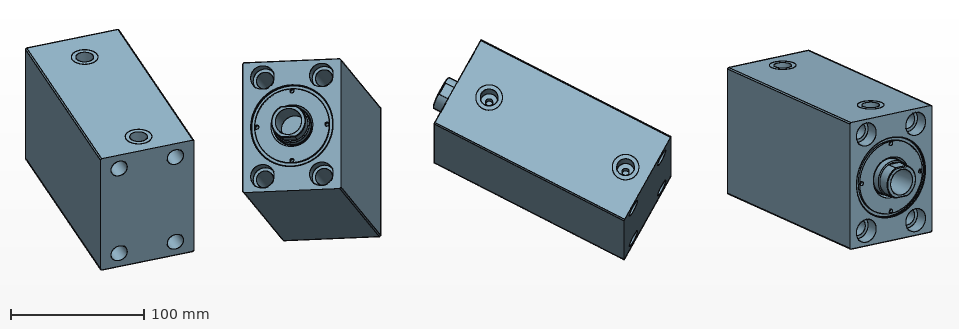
import cadquery as cq
import math

total_length = 175.5
rod_stickout = 14.0
body_length = total_length - rod_stickout
body_width = 75.0
body_height = 100.0
body_chamfer = 1.0

mount_spacing_y = 45.0
mount_spacing_z = 76.0
mount_hole_diameter = 13.0
mount_counterbore_diameter = 18.0
mount_counterbore_depth = 10.7

port_positions_x = (26.75, 142.75)
port_spotface_diameter = 20.0
port_spotface_depth = 0.1
port_thread_diameter = 13.3
port_thread_depth = 12.0
port_oil_diameter = 5.5
port_oil_depth = 18.0

gland_diameter = 62.0
gland_length = 20.0
gland_face_diameter = 57.0
gland_step_depth = 2.0
recess_chamfer = 0.5
wiper_mouth_diameter = 32.0
wiper_cone_depth = 2.0
wiper_lip_diameter = 29.0
wiper_lip_depth = 3.0
spanner_hole_diameter = 3.0
spanner_hole_depth = 3.0
spanner_point_angle = 118.0
spanner_point_length = spanner_hole_diameter / 2 / math.tan(math.radians(spanner_point_angle / 2))
spanner_hole_radius = 26.7
spanner_hole_count = 4

rod_diameter = 28.0
rod_collar_stickout = 3.5
rod_shoulder_length = 0.6
rod_flats_length = rod_stickout - rod_collar_stickout - rod_shoulder_length
rod_end_diameter = 26.0
rod_flats_width = 24.0
tip_chamfer = 0.4
flats_bevel_length = 1.0
flats_bevel_depth = 0.6
rod_bore_diameter = 20.0
rod_bore_depth = 25.0


def cylinder_x(diameter, start, length):
    """Cylinder on the X axis, running toward +X from start."""
    return cq.Workplane("YZ", origin=(start, 0, 0)).circle(diameter / 2).extrude(length)


def cone_x(start_diameter, end_diameter, start, length):
    """Truncated cone on the X axis, running toward +X from start."""
    return cq.Workplane(cq.Solid.makeCone(
        start_diameter / 2, end_diameter / 2, length,
        cq.Vector(start, 0, 0), cq.Vector(1, 0, 0),
    ))


def mounting_holes():
    """Counterbored through holes at the corners of the front face."""
    corners = cq.Workplane("YZ").rect(mount_spacing_y, mount_spacing_z, forConstruction=True).vertices()
    bores = corners.circle(mount_hole_diameter / 2).extrude(body_length)
    counterbores = corners.circle(mount_counterbore_diameter / 2).extrude(mount_counterbore_depth)
    return bores.union(counterbores)


def port(position_x):
    """Spotfaced port going down from the top face, with a narrower oil hole in its floor."""
    top = cq.Workplane("XY", origin=(position_x, 0, body_height / 2))
    spotface = top.circle(port_spotface_diameter / 2).extrude(-port_spotface_depth)
    thread = top.circle(port_thread_diameter / 2).extrude(-port_thread_depth)
    oil_hole = top.circle(port_oil_diameter / 2).extrude(-port_oil_depth)
    return spotface.union(thread).union(oil_hole)


def build_body():
    """Block with its front face at X = 0 and a chamfered recess for the gland."""
    body = cq.Workplane("YZ").rect(body_width, body_height).extrude(body_length)
    body = body.edges("|X").chamfer(body_chamfer)
    body = body.cut(cylinder_x(gland_diameter, 0, gland_length))
    mouth_diameter = gland_diameter + 2 * recess_chamfer
    body = body.cut(cone_x(mouth_diameter, gland_diameter, 0, recess_chamfer))
    body = body.cut(mounting_holes())
    for position_x in port_positions_x:
        body = body.cut(port(position_x))
    return body


def build_gland():
    """Stepped ring around the rod, with a flared mouth and spanner holes in its face."""
    gland = cylinder_x(gland_diameter, gland_step_depth, gland_length - gland_step_depth)
    gland = gland.union(cylinder_x(gland_face_diameter, 0, gland_step_depth))
    gland = gland.cut(cylinder_x(rod_diameter, 0, gland_length))
    gland = gland.cut(cone_x(wiper_mouth_diameter, wiper_lip_diameter, 0, wiper_cone_depth))
    gland = gland.cut(cylinder_x(wiper_lip_diameter, 0, wiper_lip_depth))
    drill = cylinder_x(spanner_hole_diameter, 0, spanner_hole_depth)
    drill = drill.union(cone_x(spanner_hole_diameter, 0, spanner_hole_depth, spanner_point_length))
    drill = drill.translate((0, spanner_hole_radius, 0))
    for index in range(spanner_hole_count):
        angle = index * 360 / spanner_hole_count
        gland = gland.cut(drill.rotate((0, 0, 0), (1, 0, 0), angle))
    return gland


def rod_end_flats():
    """Rod end section with two flats, tapered at its tip all the way round."""
    tip_start = -rod_stickout
    chamfer_end = tip_start + tip_chamfer
    bevel_end = tip_start + flats_bevel_length
    flats_end = tip_start + rod_flats_length
    tip_diameter = rod_end_diameter - 2 * tip_chamfer
    round_end = cone_x(tip_diameter, rod_end_diameter, tip_start, tip_chamfer)
    round_end = round_end.union(cylinder_x(rod_end_diameter, chamfer_end, flats_end - chamfer_end))

    half_width = rod_flats_width / 2
    tip_half_width = half_width - flats_bevel_depth
    wedge = (
        cq.Workplane("XZ")
        .moveTo(tip_start, tip_half_width)
        .lineTo(bevel_end, half_width)
        .lineTo(flats_end, half_width)
        .lineTo(flats_end, -half_width)
        .lineTo(bevel_end, -half_width)
        .lineTo(tip_start, -tip_half_width)
        .close()
        .extrude(rod_end_diameter / 2, both=True)
    )
    return round_end.intersect(wedge)


def build_rod():
    """Rod with a tapered shoulder, a reduced end with flats and a blind bore."""
    rod = cylinder_x(rod_diameter, -rod_collar_stickout, rod_collar_stickout + gland_length)
    shoulder_start = -rod_collar_stickout - rod_shoulder_length
    rod = rod.union(cone_x(rod_end_diameter, rod_diameter, shoulder_start, rod_shoulder_length))
    rod = rod.union(rod_end_flats())
    return rod.cut(cylinder_x(rod_bore_diameter, -rod_stickout, rod_bore_depth))


body = build_body()
gland = build_gland()
rod = build_rod()

result = cq.Compound.makeCompound([body.val(), gland.val(), rod.val()])